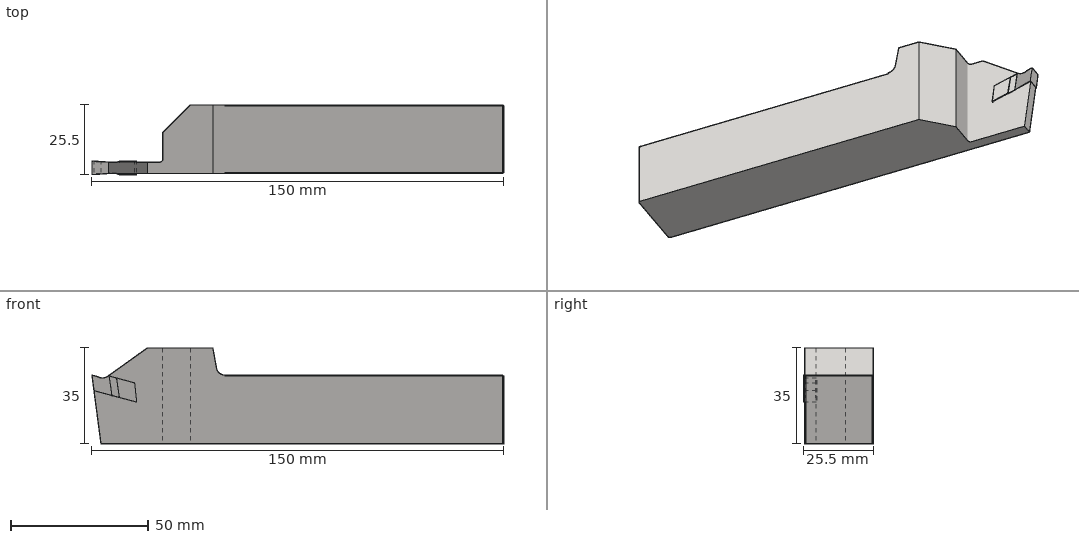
import cadquery as cq
import math

length = 150.0
shank_width = 25.0
shank_height = 25.0
head_height = 35.0
edge_chamfer = 0.5

toe_x = 3.3
ramp_top_x = 20.2
head_back_x = 44.1
head_foot_x = 45.9
foot_fillet = 3.0

blade_thickness = 4.2
shoulder_x = 25.8
shoulder_chamfer = 10.0
blade_root_fillet = 1.0

pocket_angle = math.radians(15)
pocket_front_z = 19.4
pocket_end_x = 16.4
pocket_roof_x = 15.6
pocket_mouth_x = 6.0
pocket_mouth_z = 24.8

tip_z = shank_height
land_x = 2.2
land_z = 24.5
groove_mid_x = 4.0
groove_z = 24.0
groove_end_x = 5.2
groove_end_z = 24.3
insert_overhang = 0.5
seat_back_overhang = 0.3
nose_radius = 0.5
head_tail_inset = 0.08
waist_inset = 0.18
waist_start_x = 6.3
seat_start_x = 9.0
waist_lean = 1.0


def front_x(z):
    """X of the sloping front face at height z."""
    return toe_x * (1 - z / tip_z)


def pocket_floor_z(x):
    return pocket_front_z - (x - front_x(pocket_front_z)) * math.tan(pocket_angle)


def pocket_roof_z(x):
    return pocket_mouth_z - (x - pocket_mouth_x) * math.tan(pocket_angle)


floor_front = (front_x(pocket_front_z), pocket_front_z)
floor_end = (pocket_end_x, pocket_floor_z(pocket_end_x))
roof_end = (pocket_roof_x, pocket_roof_z(pocket_roof_x))
mouth = (pocket_mouth_x, pocket_mouth_z)


def extrude_y(outline, y_start, y_end):
    """Extrude a closed XZ outline between two Y positions."""
    return outline.extrude(-(y_end - y_start)).translate((0, y_start, 0))


def holder_profile():
    outline = (
        cq.Workplane("XZ")
        .polyline([
            (toe_x, 0), floor_front, floor_end, roof_end, mouth,
            (ramp_top_x, head_height), (head_back_x, head_height),
            (head_foot_x, shank_height), (length, shank_height), (length, 0),
        ])
        .close()
    )
    body = extrude_y(outline, 0, shank_width)
    foot = cq.selectors.NearestToPointSelector((head_foot_x, shank_width / 2, shank_height))
    return body.edges("|Y").edges(foot).fillet(foot_fillet)


def holder_plan():
    """Thin blade in front of the full-width shank, with a chamfered shoulder."""
    plan = (
        cq.Workplane("XY")
        .polyline([
            (0, 0), (0, blade_thickness), (shoulder_x, blade_thickness),
            (shoulder_x, shank_width - shoulder_chamfer),
            (shoulder_x + shoulder_chamfer, shank_width),
            (length, shank_width), (length, 0),
        ])
        .close()
        .extrude(head_height)
    )
    root = cq.selectors.NearestToPointSelector((shoulder_x, blade_thickness, head_height / 2))
    return plan.edges("|Z").edges(root).fillet(blade_root_fillet)


def chamfered_shank(start_x):
    """Plain shank from start_x to the end, chamfered except along its bottom edges."""
    block = cq.Workplane("XY").box(length - start_x, shank_width, shank_height, centered=False)
    return (
        block.edges("(|X and >Z) or (>X and (not <Z))")
        .chamfer(edge_chamfer)
        .translate((start_x, 0, 0))
    )


def make_holder():
    """Blade and head up to the end of the foot fillet, then the chamfered shank."""
    back_lean = math.atan2(head_foot_x - head_back_x, head_height - shank_height)
    foot_turn = math.pi / 2 - back_lean
    shank_start_x = head_foot_x + foot_fillet * math.tan(foot_turn / 2)
    front = cq.Workplane("XY").box(shank_start_x, shank_width, head_height, centered=False)
    return (
        holder_profile()
        .intersect(holder_plan())
        .intersect(front)
        .union(chamfered_shank(shank_start_x))
        .clean()
    )


def insert_head():
    """Cutting head with a chip groove on top, tapering in width behind the tip."""
    outline = (
        cq.Workplane("XZ")
        .moveTo(0, tip_z)
        .lineTo(land_x, land_z)
        .threePointArc((groove_mid_x, groove_z), (groove_end_x, groove_end_z))
        .lineTo(*mouth)
        .lineTo(waist_start_x, pocket_roof_z(waist_start_x))
        .lineTo(waist_start_x + waist_lean, pocket_floor_z(waist_start_x + waist_lean))
        .lineTo(*floor_front)
        .close()
    )
    tail_x = waist_start_x + waist_lean
    plan = (
        cq.Workplane("XY")
        .polyline([
            (0, -insert_overhang),
            (tail_x, head_tail_inset),
            (tail_x, blade_thickness - head_tail_inset),
            (0, blade_thickness + insert_overhang),
        ])
        .close()
        .extrude(head_height)
        .edges("|Z and <X")
        .fillet(nose_radius)
    )
    return extrude_y(outline, -insert_overhang, blade_thickness + insert_overhang).intersect(plan)


def insert_waist():
    """Narrower link between the cutting head and the seat."""
    outline = (
        cq.Workplane("XZ")
        .polyline([
            (waist_start_x, pocket_roof_z(waist_start_x)),
            (seat_start_x, pocket_roof_z(seat_start_x)),
            (seat_start_x + waist_lean, pocket_floor_z(seat_start_x + waist_lean)),
            (waist_start_x + waist_lean, pocket_floor_z(waist_start_x + waist_lean)),
        ])
        .close()
    )
    return extrude_y(outline, waist_inset, blade_thickness - waist_inset)


def insert_seat():
    """Rear block whose sides flare outward from the pocket roof to the floor."""
    outline = (
        cq.Workplane("XZ")
        .polyline([
            (seat_start_x, pocket_roof_z(seat_start_x)),
            roof_end,
            floor_end,
            (seat_start_x + waist_lean, pocket_floor_z(seat_start_x + waist_lean)),
        ])
        .close()
    )
    block = extrude_y(outline, -insert_overhang, blade_thickness + seat_back_overhang)
    slope = (math.cos(pocket_angle), 0, -math.sin(pocket_angle))
    floor_start = (0, 0, pocket_floor_z(0))
    seat_height = (pocket_roof_z(0) - pocket_floor_z(0)) * math.cos(pocket_angle)
    flare = (
        cq.Workplane(cq.Plane(origin=floor_start, xDir=(0, 1, 0), normal=slope))
        .polyline([
            (-insert_overhang, 0), (blade_thickness + seat_back_overhang, 0),
            (blade_thickness, seat_height), (0, seat_height),
        ])
        .close()
        .extrude(2 * pocket_end_x)
    )
    return block.intersect(flare)


def make_insert():
    return insert_head().union(insert_waist()).union(insert_seat())


holder = make_holder()
insert = make_insert()
result = cq.Compound.makeCompound([*holder.solids().vals(), *insert.solids().vals()])